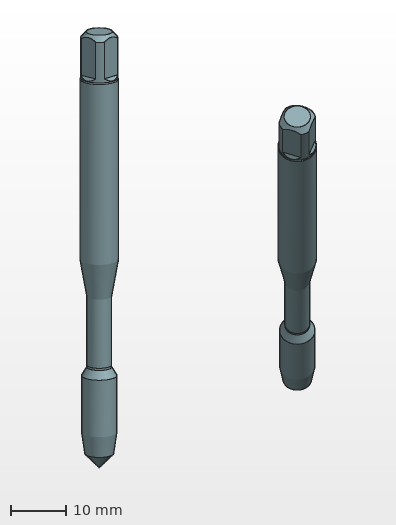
import cadquery as cq
import math

overall_length = 82.4
tip_height = 2.7
lead_top = 6.7
thread_top = 17.5
shoulder_top = 19.0
body_joint = 19.45
neck_top = 32.4
shank_bottom = 39.3
shank_top = 73.4
shank_bevel = 0.25

shank_diameter = 7.0
neck_diameter = 4.5
thread_diameter = 6.4
lead_end_diameter = 5.3
drive_corner_diameter = 6.75
drive_top_diameter = 4.8

across_flats = 5.8
flat_bottom = 74.4
drive_bevel = 1.1
runout_angle = 38.0


def turned(profile):
    """Revolve (diameter, height) points, listed upwards, around the Z axis."""
    bottom = profile[0][1]
    top = profile[-1][1]
    outline = [(0, bottom)]
    outline += [(diameter / 2, height) for diameter, height in profile if diameter > 0]
    outline += [(0, top)]
    return cq.Workplane("XZ").polyline(outline).close().revolve(360, (0, 0), (0, 1))


def flat_cutter(angle):
    """Material beyond one drive flat, with a sloping run-out at its lower end."""
    flat = across_flats / 2
    outside = shank_diameter
    runout_bottom = flat_bottom - (outside - flat) / math.tan(math.radians(runout_angle))
    above = overall_length + drive_bevel
    return (
        cq.Workplane("XZ")
        .polyline([(flat, flat_bottom), (outside, runout_bottom), (outside, above), (flat, above)])
        .close()
        .extrude(shank_diameter, both=True)
        .rotate((0, 0, 0), (0, 0, 1), angle)
    )


def make_shank():
    """Neck, taper, cylindrical shank and square drive."""
    shank = turned([
        (neck_diameter, body_joint),
        (neck_diameter, neck_top),
        (shank_diameter, shank_bottom),
        (shank_diameter, shank_top),
        (drive_corner_diameter, shank_top + shank_bevel),
        (drive_corner_diameter, overall_length - drive_bevel),
        (drive_top_diameter, overall_length),
    ])
    for side in range(4):
        shank = shank.cut(flat_cutter(side * 90))
    return shank


def make_cutting_head():
    """Pointed tip, tapered lead, thread envelope and shoulder."""
    return turned([
        (0, 0),
        (lead_end_diameter, tip_height),
        (thread_diameter, lead_top),
        (thread_diameter, thread_top),
        (neck_diameter, shoulder_top),
        (neck_diameter, body_joint),
    ])


shank = make_shank()
cutting_head = make_cutting_head()

result = cq.Compound.makeCompound([shank.val(), cutting_head.val()])